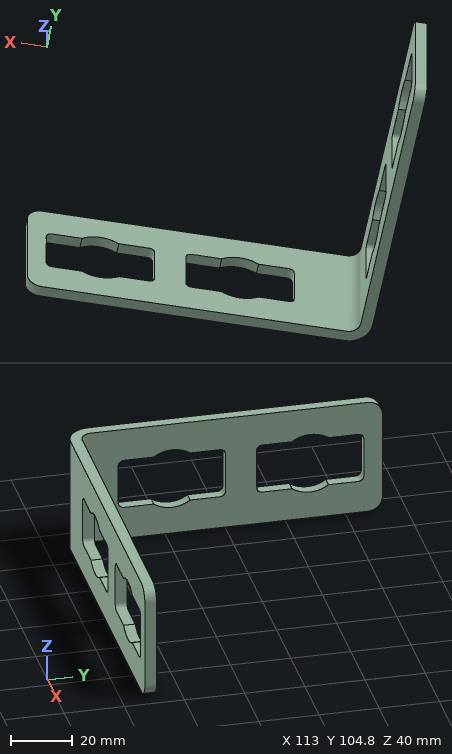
import cadquery as cq

length_x = 113.0
length_y = 104.8
height = 40.0

thickness = 4.0
bend_inner_radius = 4.0
bend_outer_radius = bend_inner_radius + thickness
end_corner_radius = 5.0

slot_length = 35.6
slot_height = 17.2
slot_corner_radius = 1.8
bulge_diameter = 21.0
slot_pitch = 46.0
end_to_slot_center = 24.1


def sheet_angle():
    """L-shaped sheet with a rounded bend at the origin."""
    return (
        cq.Workplane("XY")
        .polyline([
            (0, 0),
            (length_x, 0),
            (length_x, thickness),
            (thickness, thickness),
            (thickness, length_y),
            (0, length_y),
        ])
        .close()
        .extrude(height)
        .edges(cq.selectors.NearestToPointSelector((0, 0, height / 2)))
        .fillet(bend_outer_radius)
        .edges(cq.selectors.NearestToPointSelector((thickness, thickness, height / 2)))
        .fillet(bend_inner_radius)
    )


def slot_cutter(along):
    """Opening centred on a distance along the X leg, at mid height."""
    plane = cq.Workplane("XZ", origin=(along, thickness, height / 2))
    slot = plane.rect(slot_length, slot_height).extrude(thickness)
    slot = slot.edges("|Y").fillet(slot_corner_radius)
    return slot.union(plane.circle(bulge_diameter / 2).extrude(thickness))


def onto_y_leg(cutter):
    """Swap X and Y so a cutter for the X leg fits the Y leg."""
    return cutter.rotate((0, 0, 0), (0, 0, 1), 90).mirror("YZ")


bracket = sheet_angle()

bracket = bracket.faces(">X").edges("|Y").fillet(end_corner_radius)
bracket = bracket.faces(">Y").edges("|X").fillet(end_corner_radius)

for index in range(2):
    from_end = end_to_slot_center + index * slot_pitch
    bracket = bracket.cut(slot_cutter(length_x - from_end))
    bracket = bracket.cut(onto_y_leg(slot_cutter(length_y - from_end)))

result = bracket